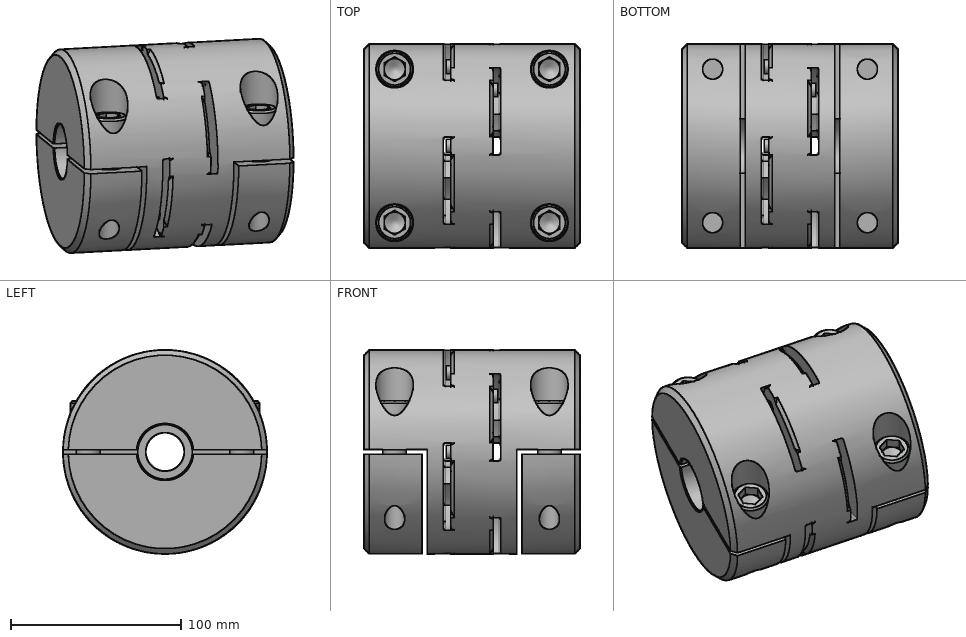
import cadquery as cq
import math

length = 127.0
outer_diameter = 120.0
outer_radius = outer_diameter / 2
end_chamfer = 3.2

shaft_bore_diameter = 32.0
shaft_bore_chamfer = 0.8
centre_hole_diameter = 22.5

cavity_outer_x = 16.8
cavity_inner_x = 12.5
cavity_fillet = 1.1
chamber_diameter = 72.9
slot_disc_diameter = 56.6
slot_disc_offset = 47.2
slot_count = 4
slot_pitch = 360 / slot_count
slot_middle_angle = -22.5
cavity_turn = 45.0

bevel_width = 2.0
bevel_depth = 2.5
bevel_outer_half_width = 18.0
bevel_floor_half_width = 14.5

notch_length = 2.0
notch_width = 1.0
notch_depth = 2.5

stud_diameter = 8.0
stud_height = 2.8
stud_circle_radius = 46.5

clamp_gap = 2.5
cross_slit_inner_x = 26.4
cross_slit_width = 2.9

screw_x = 45.5
screw_y = 45.1
head_recess_diameter = 22.0
head_diameter = 21.0
head_height = 14.0
head_top_z = 30.0
head_chamfer_height = 1.4
head_chamfer_width = 1.1
head_seat_z = head_top_z - head_height
shank_diameter = 14.0
shank_end_z = -25.4
thread_hole_diameter = 11.8
hex_across_flats = 12.5
hex_sides = 6
hex_half_angle = 180 / hex_sides
hex_across_corners = hex_across_flats / math.cos(math.radians(hex_half_angle))
hex_depth = 6.4
hex_cone_height = 3.2


def cylinder_x(diameter, start_x, end_x):
    """Cylinder on the X axis."""
    return cq.Workplane("YZ", origin=(start_x, 0, 0)).circle(diameter / 2).extrude(end_x - start_x)


def about_x(shape, angle):
    """Turn a shape about X; a positive angle raises the -Y side."""
    return shape.rotate((0, 0, 0), (1, 0, 0), -angle)


def around_slots(shape):
    """Repeat a shape made on the -Y side at every slot of the -X cavity."""
    copies = cq.Workplane("YZ")
    for index in range(slot_count):
        copies = copies.union(about_x(shape, slot_middle_angle + index * slot_pitch))
    return copies


def both_cavities(shape):
    """Add the +X counterpart of a shape made for the -X cavity."""
    return shape.union(about_x(shape.mirror("YZ"), cavity_turn))


def body():
    """Chamfered cylinder with the shaft bores and the centre hole."""
    blank = cylinder_x(outer_diameter, -length / 2, length / 2).faces("<X or >X").chamfer(end_chamfer)
    blank = blank.cut(cylinder_x(centre_hole_diameter, -length / 2, length / 2))
    for side in (-1, 1):
        bore = cylinder_x(shaft_bore_diameter, side * length / 2, side * cavity_inner_x)
        mouth = cq.Workplane(
            cq.Solid.makeCone(
                shaft_bore_diameter / 2 + shaft_bore_chamfer,
                shaft_bore_diameter / 2,
                shaft_bore_chamfer,
                pnt=cq.Vector(side * length / 2, 0, 0),
                dir=cq.Vector(-side, 0, 0),
            )
        )
        blank = blank.cut(bore).cut(mouth)
    return blank


def cavity():
    """Round chamber joined to four slot discs, rounded at the outer end."""
    chamber = cylinder_x(chamber_diameter, -cavity_outer_x, -cavity_inner_x)
    slot_disc = cylinder_x(slot_disc_diameter, -cavity_outer_x, -cavity_inner_x)
    chamber = chamber.faces("<X").edges().fillet(cavity_fillet)
    slot_disc = slot_disc.faces("<X").edges().fillet(cavity_fillet)
    return chamber.union(around_slots(slot_disc.translate((0, -slot_disc_offset, 0))))


def bevel():
    """Conical bevel on the inner rim of a slot, with sloping ends.

    The cutting ring reaches past the outer surface by the depth of the bevel.
    """
    floor_radius = outer_radius - bevel_depth
    ring = (
        cq.Workplane("XY")
        .moveTo(-cavity_inner_x, floor_radius)
        .lineTo(-cavity_inner_x + 2 * bevel_width, outer_radius + bevel_depth)
        .lineTo(-cavity_inner_x, outer_radius + bevel_depth)
        .close()
        .revolve(360, (0, 0, 0), (1, 0, 0))
    )
    outer_y = -math.sqrt(outer_radius**2 - bevel_outer_half_width**2)
    floor_y = -math.sqrt(floor_radius**2 - bevel_floor_half_width**2)
    end_slope = (bevel_outer_half_width - bevel_floor_half_width) / (outer_y - floor_y)
    far_y = -outer_radius - bevel_depth
    far_half_width = bevel_outer_half_width + end_slope * (far_y - outer_y)
    window = (
        cq.Workplane("YZ", origin=(-cavity_inner_x, 0, 0))
        .polyline(
            [
                (floor_y, -bevel_floor_half_width),
                (floor_y, bevel_floor_half_width),
                (far_y, far_half_width),
                (far_y, -far_half_width),
            ]
        )
        .close()
        .extrude(2 * bevel_width)
    )
    return ring.intersect(window)


def end_notches():
    """Notches that run from both ends of a slot towards the middle of the body."""
    slot_disc_radius = slot_disc_diameter / 2
    mouth_y = (outer_radius**2 + slot_disc_offset**2 - slot_disc_radius**2) / (2 * slot_disc_offset)
    mouth_half_width = math.sqrt(outer_radius**2 - mouth_y**2)
    notch = (
        cq.Workplane("XZ", origin=(0, -mouth_y + notch_depth, 0))
        .polyline(
            [
                (-cavity_inner_x, mouth_half_width),
                (-cavity_inner_x + notch_length, mouth_half_width),
                (-cavity_inner_x, mouth_half_width - notch_width),
            ]
        )
        .close()
        .extrude(2 * notch_depth)
    )
    return notch.union(notch.mirror("XY"))


def studs():
    """Studs standing on the inner wall of the -X cavity."""
    return (
        cq.Workplane("YZ", origin=(-cavity_inner_x, 0, 0))
        .polarArray(stud_circle_radius, 0, 360, slot_count)
        .circle(stud_diameter / 2)
        .extrude(-stud_height)
    )


def clamp_slits():
    """Level slit at mid height and cross slit below it, at each end."""
    slits = cq.Workplane("XY")
    level_length = length / 2 - cross_slit_inner_x
    level_x = length / 2 - level_length / 2
    cross_x = cross_slit_inner_x + cross_slit_width / 2
    cross_top_z = clamp_gap / 2
    cross_height = cross_top_z + outer_radius
    cross_z = cross_top_z - cross_height / 2
    level = cq.Workplane("XY").box(level_length, outer_diameter, clamp_gap)
    cross = cq.Workplane("XY").box(cross_slit_width, outer_diameter, cross_height)
    for side in (-1, 1):
        slits = slits.union(level.translate((side * level_x, 0, 0)))
        slits = slits.union(cross.translate((side * cross_x, 0, cross_z)))
    return slits


def upright(diameter, bottom_z, top_z):
    """Cylinder along Z."""
    return cq.Workplane("XY", origin=(0, 0, bottom_z)).circle(diameter / 2).extrude(top_z - bottom_z)


def screw():
    """Cap screw on the Z axis, with a hexagon socket ending in a drill tip."""
    head_radius = head_diameter / 2
    profile = (
        cq.Workplane("XZ")
        .moveTo(0, shank_end_z)
        .lineTo(shank_diameter / 2, shank_end_z)
        .lineTo(shank_diameter / 2, head_seat_z)
        .lineTo(head_radius, head_seat_z)
        .lineTo(head_radius, head_top_z - head_chamfer_height)
        .lineTo(head_radius - head_chamfer_width, head_top_z)
        .lineTo(0, head_top_z)
        .close()
    )
    hex_floor_z = head_top_z - hex_depth
    socket = (
        cq.Workplane("XY", origin=(0, 0, hex_floor_z))
        .polygon(hex_sides, hex_across_corners)
        .extrude(hex_depth)
        .rotate((0, 0, 0), (0, 0, 1), hex_half_angle)
    )
    drill_tip = cq.Workplane(
        cq.Solid.makeCone(
            hex_across_flats / 2,
            0,
            hex_cone_height,
            pnt=cq.Vector(0, 0, hex_floor_z),
            dir=cq.Vector(0, 0, -1),
        )
    )
    return profile.revolve(360, (0, 0, 0), (0, 1, 0)).cut(socket).cut(drill_tip)


def screw_hole():
    """Head recess from above and a thread hole through to the underside."""
    recess = upright(head_recess_diameter, head_seat_z, outer_radius)
    return recess.union(upright(thread_hole_diameter, -outer_radius, head_seat_z))


result = body()
result = result.cut(both_cavities(cavity()))
result = result.cut(both_cavities(around_slots(bevel())))
result = result.cut(both_cavities(around_slots(end_notches())))
result = result.union(both_cavities(studs()))

result = result.cut(clamp_slits())
for x in (-screw_x, screw_x):
    for y in (-screw_y, screw_y):
        result = result.cut(screw_hole().translate((x, y, 0)))
        result = result.union(screw().translate((x, y, 0)))